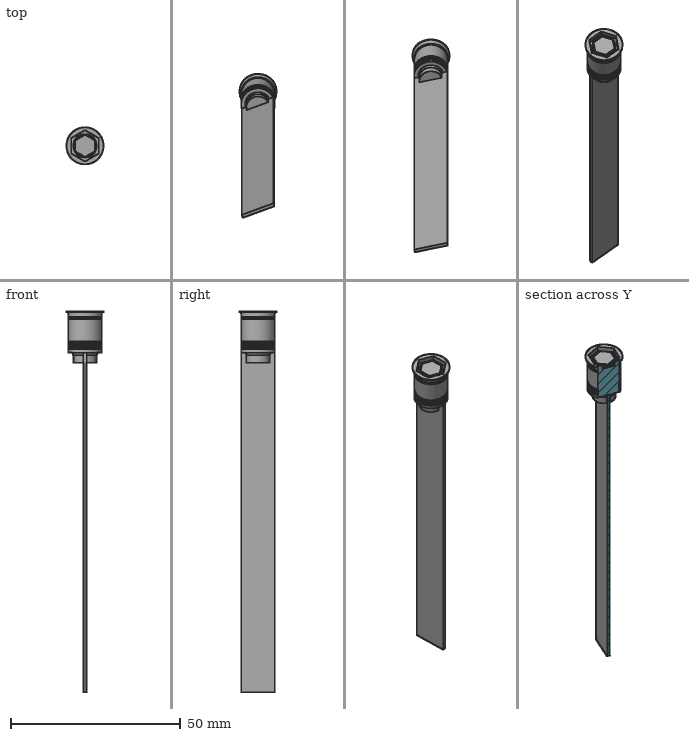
import cadquery as cq
import math


flange_diameter = 11.0
flange_thickness = 0.35
flange_fillet = 0.3
barrel_diameter = 10.0
barrel_bottom = -12.25
collar_top_diameter = 7.6
collar_height = 0.75

groove_depth = 0.15
upper_groove_top = -1.7
upper_groove_width = 0.75
lower_grooves_top = -8.85
lower_groove_width = 0.6
lower_groove_count = 4

recess_width = 8.0
recess_depth = 1.5

plug_diameter = 6.9
plug_bottom = -15.25
shaft_top = -1.0
head_width = 6.0
head_top = -0.6
head_chamfer = 0.15

cable_thickness = 1.0
cable_width = 10.0
cable_bottom = -112.5

flange_radius = flange_diameter / 2
barrel_radius = barrel_diameter / 2
plug_radius = plug_diameter / 2
collar_bottom = barrel_bottom - collar_height


def cylinder(diameter, top, bottom):
    """Cylinder on the Z axis between two heights."""
    return cq.Workplane("XY").workplane(offset=bottom).circle(diameter / 2).extrude(top - bottom)


def hexagon_prism(width, top, bottom):
    """Hexagonal prism on the Z axis with flats facing +X and -X."""
    across_corners = width / math.cos(math.pi / 6)
    return (
        cq.Workplane("XY")
        .workplane(offset=bottom)
        .transformed(rotate=(0, 0, 90))
        .polygon(6, across_corners)
        .extrude(top - bottom)
    )


def vee_groove(top, width):
    """Ring of triangular section that cuts a V-groove into the barrel, starting at the given height."""
    return (
        cq.Workplane("XZ")
        .moveTo(barrel_radius, top)
        .lineTo(barrel_radius - groove_depth, top - width / 2)
        .lineTo(barrel_radius, top - width)
        .close()
        .revolve(360, (0, 0, 0), (0, 1, 0))
    )


def make_cable():
    """Flat ribbon hanging below the barrel, its wide faces towards +X and -X."""
    return (
        cq.Workplane("XY")
        .workplane(offset=cable_bottom)
        .rect(cable_thickness, cable_width)
        .extrude(barrel_bottom - cable_bottom)
    )


def make_plug():
    """Round shaft topped by a chamfered hexagonal head, before the cable slot."""
    shaft = cylinder(plug_diameter, shaft_top, plug_bottom)
    head = hexagon_prism(head_width, head_top, shaft_top).faces(">Z").chamfer(head_chamfer)
    return shaft.union(head)


def make_housing_blank():
    """Turned outline: thin flange, filleted into the barrel, then a collar tapering to the plug."""
    fillet_end = -flange_thickness - flange_fillet
    fillet_bulge = flange_fillet * (1 - math.sqrt(0.5))
    return (
        cq.Workplane("XZ")
        .lineTo(flange_radius, 0)
        .lineTo(flange_radius, -flange_thickness)
        .lineTo(barrel_radius + flange_fillet, -flange_thickness)
        .threePointArc(
            (barrel_radius + fillet_bulge, -flange_thickness - fillet_bulge),
            (barrel_radius, fillet_end),
        )
        .lineTo(barrel_radius, barrel_bottom)
        .lineTo(collar_top_diameter / 2, barrel_bottom)
        .lineTo(plug_radius, collar_bottom)
        .lineTo(0, collar_bottom)
        .close()
        .revolve(360, (0, 0, 0), (0, 1, 0))
    )


def make_housing():
    """Housing with its grooves, hexagonal recess and through hole for the plug."""
    housing = make_housing_blank().cut(vee_groove(upper_groove_top, upper_groove_width))
    for index in range(lower_groove_count):
        groove_top = lower_grooves_top - index * lower_groove_width
        housing = housing.cut(vee_groove(groove_top, lower_groove_width))
    housing = housing.cut(hexagon_prism(recess_width, 0, -recess_depth))
    return housing.cut(cylinder(plug_diameter, 0, collar_bottom))


cable = make_cable()
housing = make_housing().cut(cable)
plug = make_plug().cut(cable)

result = cq.Compound.makeCompound([housing.val(), plug.val(), cable.val()])